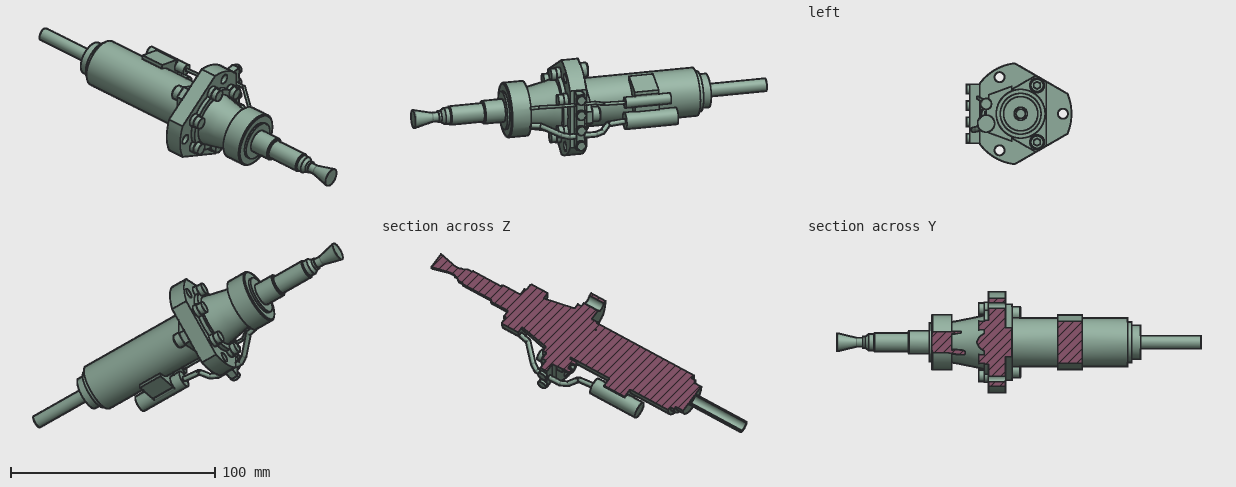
import cadquery as cq
import math

TOTAL_LENGTH = 178.2

ROD_END, ROD_RADIUS, ROD_BORE_RADIUS = 29.5, 3.2, 2.3
COLLAR_END, COLLAR_RADIUS = 33.9, 8.4
STEP_END, STEP_RADIUS = 36.0, 10.0
BODY_RADIUS = 12.0

FLANGE_START, FLANGE_END = 95.7, 104.0
FLANGE_RADIUS = 25.0
FLAT_DISTANCE = 20.0
FLANGE_HOLE_CIRCLE, FLANGE_HOLE_RADIUS = 20.7, 2.4
PLATE_START = 92.5
PLATE_SIDE_DISTANCE, PLATE_FLAT_DISTANCE = 12.5, 19.8

PLATE_SCREW_CIRCLE, PLATE_SCREW_RADIUS, PLATE_SCREW_HEIGHT = 16.0, 3.5, 4.3
SCREW_EDGE_CHAMFER = 0.5
SOCKET_WIDTH, SOCKET_DEPTH = 3.2, 2.1

NOSE_FLANGE_END, NOSE_FLANGE_RADIUS = 106.2, 16.0
LOBE_RADIUS = 3.2
NOSE_SCREW_COUNT, NOSE_SCREW_CIRCLE = 6, 16.4
NOSE_SCREW_RADIUS, NOSE_SCREW_HEIGHT = 2.9, 2.7

CONE_START_RADIUS, CONE_END_RADIUS = 13.2, 10.0
DISC_START, DISC_END, DISC_RADIUS, DISC_CHAMFER = 121.9, 131.9, 13.5, 0.5
SHOULDER_END, SHOULDER_RADIUS = 133.0, 9.5
SLEEVE_END, SLEEVE_RADIUS = 143.3, 5.7
SPINDLE_END, SPINDLE_RADIUS = 160.2, 4.6
EDGE_CHAMFER = 0.5
HOLDER_END, HOLDER_RADIUS = 162.5, 4.1
TAPER_END, TAPER_RADIUS = 164.3, 2.9
RING_END = 165.5
NECK_END, NECK_RADIUS = 168.8, 2.3
RIM_START, RIM_RADIUS = 177.7, 4.5

SENSOR_END, SENSOR_Y, SENSOR_Z = 75.5, 17.0, 4.8
LARGE_SENSOR_START, LARGE_SENSOR_RADIUS = 49.5, 4.19
SMALL_SENSOR_START, SMALL_SENSOR_RADIUS = 52.7, 2.7
SADDLE_START, SADDLE_END = 58.1, 70.2
SADDLE_FOOT_Y, SADDLE_FOOT_Z = 4.1, 12.0
SADDLE_INNER_Y, SADDLE_INNER_Z = 4.5, 13.4
SADDLE_OUTER_Y, SADDLE_OUTER_Z = 15.7, 9.3

CLAMP_X, CLAMP_WIDTH, CLAMP_LENGTH, CLAMP_TOP = 100.0, 4.0, 28.9, 25.0
CLAMP_SCREW_RADIUS, CLAMP_SCREW_HEIGHT = 2.3, 1.6
CLAMP_SCREW_COUNT, CLAMP_SCREW_PITCH = 4, 8.0

CABLE_EMBED = 1.8
CABLE_RUN_START = 91.6
THICK_CABLE_RADIUS, THICK_RUN_END, THICK_RUN_Y = 1.2, 105.1, 23.0
THIN_CABLE_RADIUS, THIN_RUN_END, THIN_RUN_Y = 0.7, 108.0, 20.8
CABLE_RUN_Z = 7.8
THICK_ENTRY_Y, THIN_ENTRY_Y, CABLE_ENTRY_Z = 11.2, 11.8, 4.5
THICK_RISE = [(84.3, 17.6, -5.3), (88.0, 21.4, -7.5)]
THICK_FALL = [(108.5, 20.8, -7.5), (116.9, 12.5, -5.0)]
THIN_RISE = [(86.6, 17.1, 5.3)]
THIN_FALL = [(117.8, 12.8, 5.0)]


def along_x(start):
    """Sketch plane at the given X, with Y and Z as its own axes."""
    return cq.Workplane("YZ", origin=(start, 0, 0))


def cylinder(start, end, radius, y=0, z=0):
    return along_x(start).center(y, z).circle(radius).extrude(end - start)


def ring_points(count, radius, first_angle=0):
    """Evenly spaced (Y, Z) points around the axis."""
    angles = [math.radians(first_angle + 360 * i / count) for i in range(count)]
    return [(radius * math.cos(a), radius * math.sin(a)) for a in angles]


def three_sided(start, end, side_distance, first_angle):
    """Triangular prism whose sides lie at one distance from the axis."""
    corners = ring_points(3, 2 * side_distance, first_angle + 180)
    return along_x(start).polyline(corners).close().extrude(end - start)


def turned_body():
    outline = [
        (0, 0), (0, ROD_RADIUS), (ROD_END, ROD_RADIUS),
        (ROD_END, COLLAR_RADIUS), (COLLAR_END, COLLAR_RADIUS),
        (COLLAR_END, STEP_RADIUS), (STEP_END, STEP_RADIUS),
        (STEP_END, BODY_RADIUS), (FLANGE_END, BODY_RADIUS),
        (FLANGE_END, CONE_START_RADIUS), (NOSE_FLANGE_END, CONE_START_RADIUS),
        (DISC_START, CONE_END_RADIUS), (DISC_START, DISC_RADIUS),
        (DISC_END - DISC_CHAMFER, DISC_RADIUS), (DISC_END, DISC_RADIUS - DISC_CHAMFER),
        (DISC_END, SHOULDER_RADIUS), (SHOULDER_END, SHOULDER_RADIUS),
        (SHOULDER_END, SLEEVE_RADIUS),
        (SLEEVE_END - EDGE_CHAMFER, SLEEVE_RADIUS), (SLEEVE_END, SLEEVE_RADIUS - EDGE_CHAMFER),
        (SLEEVE_END, SPINDLE_RADIUS),
        (SPINDLE_END - EDGE_CHAMFER, SPINDLE_RADIUS), (SPINDLE_END, HOLDER_RADIUS),
        (HOLDER_END, HOLDER_RADIUS), (TAPER_END, TAPER_RADIUS),
        (RING_END, TAPER_RADIUS), (RING_END, NECK_RADIUS),
        (NECK_END, NECK_RADIUS), (RIM_START, RIM_RADIUS),
        (TOTAL_LENGTH, RIM_RADIUS), (TOTAL_LENGTH, 0),
    ]
    body = cq.Workplane("XY").polyline(outline).close().revolve(360, (0, 0, 0), (1, 0, 0))
    return body.cut(cylinder(0, ROD_END, ROD_BORE_RADIUS))


def mounting_flange():
    flange = cylinder(FLANGE_START, FLANGE_END, FLANGE_RADIUS)
    flange = flange.intersect(three_sided(FLANGE_START, FLANGE_END, FLAT_DISTANCE, 0))
    hole_points = ring_points(3, FLANGE_HOLE_CIRCLE, 60)
    holes = along_x(FLANGE_START).pushPoints(hole_points).circle(FLANGE_HOLE_RADIUS)
    return flange.cut(holes.extrude(FLANGE_END - FLANGE_START))


def clamp_plate():
    """Triangle whose corners are cut by flats parallel to the flange flats."""
    triangle = three_sided(PLATE_START, FLANGE_START, PLATE_SIDE_DISTANCE, 180)
    return triangle.intersect(three_sided(PLATE_START, FLANGE_START, PLATE_FLAT_DISTANCE, 0))


def plate_screw(y, z):
    start = PLATE_START - PLATE_SCREW_HEIGHT
    head = cylinder(start, PLATE_START, PLATE_SCREW_RADIUS, y, z)
    head = head.faces("<X").chamfer(SCREW_EDGE_CHAMFER)
    socket_diameter = SOCKET_WIDTH / math.cos(math.pi / 6)
    socket = along_x(start).center(y, z).transformed(rotate=(0, 0, 30))
    socket = socket.polygon(6, socket_diameter).extrude(SOCKET_DEPTH)
    return head.cut(socket)


def nose_flange():
    points = ring_points(NOSE_SCREW_COUNT, NOSE_SCREW_CIRCLE, 30)
    flange = cylinder(FLANGE_END, NOSE_FLANGE_END, NOSE_FLANGE_RADIUS)
    screw_end = NOSE_FLANGE_END + NOSE_SCREW_HEIGHT
    for y, z in points:
        flange = flange.union(cylinder(FLANGE_END, NOSE_FLANGE_END, LOBE_RADIUS, y, z))
        flange = flange.union(cylinder(NOSE_FLANGE_END, screw_end, NOSE_SCREW_RADIUS, y, z))
    return flange


def sensors():
    small_top = SENSOR_Z + SMALL_SENSOR_RADIUS
    large_bottom = -SENSOR_Z - LARGE_SENSOR_RADIUS
    saddle_outline = [
        (SADDLE_FOOT_Y, SADDLE_FOOT_Z), (SADDLE_INNER_Y, SADDLE_INNER_Z),
        (SADDLE_OUTER_Y, SADDLE_OUTER_Z), (SADDLE_OUTER_Y, small_top),
        (SENSOR_Y, small_top), (SENSOR_Y, large_bottom),
        (SADDLE_OUTER_Y, large_bottom), (SADDLE_OUTER_Y, -SADDLE_OUTER_Z),
        (SADDLE_INNER_Y, -SADDLE_INNER_Z), (SADDLE_FOOT_Y, -SADDLE_FOOT_Z),
    ]
    saddle = along_x(SADDLE_START).polyline(saddle_outline).close()
    saddle = saddle.extrude(SADDLE_END - SADDLE_START)
    large = cylinder(LARGE_SENSOR_START, SENSOR_END, LARGE_SENSOR_RADIUS, SENSOR_Y, -SENSOR_Z)
    small = cylinder(SMALL_SENSOR_START, SENSOR_END, SMALL_SENSOR_RADIUS, SENSOR_Y, SENSOR_Z)
    return saddle.union(large).union(small)


def cable_clamp():
    height = CLAMP_TOP - FLAT_DISTANCE
    block = cq.Workplane("XY").box(CLAMP_WIDTH, height, CLAMP_LENGTH)
    block = block.translate((CLAMP_X, FLAT_DISTANCE + height / 2, 0))
    screws = (
        cq.Workplane("XZ", origin=(CLAMP_X, CLAMP_TOP, 0))
        .rarray(1.8, CLAMP_SCREW_PITCH, 1, CLAMP_SCREW_COUNT)
        .circle(CLAMP_SCREW_RADIUS)
        .extrude(-CLAMP_SCREW_HEIGHT)
    )
    return block.union(screws)


def cable(points, radius):
    """Round cable through the points, rounded at its bends."""
    path = cq.Workplane("XY").polyline(points)
    first, second = cq.Vector(*points[0]), cq.Vector(*points[1])
    section = cq.Workplane(cq.Plane(points[0], normal=(second - first).toTuple()))
    return section.circle(radius).sweep(path, transition="round")


def cables():
    exit_x = SENSOR_END - CABLE_EMBED
    entry_x = DISC_START + CABLE_EMBED
    thick_points = [
        (exit_x, SENSOR_Y, -SENSOR_Z), *THICK_RISE,
        (CABLE_RUN_START, THICK_RUN_Y, -CABLE_RUN_Z), (THICK_RUN_END, THICK_RUN_Y, -CABLE_RUN_Z),
        *THICK_FALL, (entry_x, THICK_ENTRY_Y, -CABLE_ENTRY_Z),
    ]
    thin_points = [
        (exit_x, SENSOR_Y, SENSOR_Z), *THIN_RISE,
        (CABLE_RUN_START, THIN_RUN_Y, CABLE_RUN_Z), (THIN_RUN_END, THIN_RUN_Y, CABLE_RUN_Z),
        *THIN_FALL, (entry_x, THIN_ENTRY_Y, CABLE_ENTRY_Z),
    ]
    thick = cable(thick_points, THICK_CABLE_RADIUS)
    return thick.union(cable(thin_points, THIN_CABLE_RADIUS))


result = turned_body().union(mounting_flange()).union(clamp_plate()).union(nose_flange())
for screw_y, screw_z in ring_points(3, PLATE_SCREW_CIRCLE):
    result = result.union(plate_screw(screw_y, screw_z))
result = result.union(sensors()).union(cable_clamp()).union(cables())